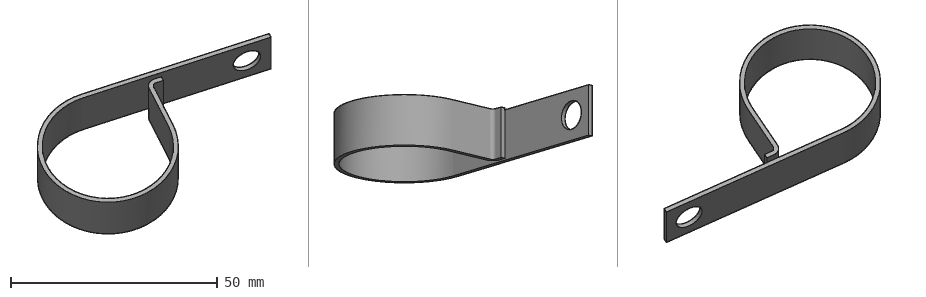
import cadquery as cq
import math

overall_length = 66.3
loop_diameter = 34.2
strip_width = 12.7
thickness = 1.2
lip_gap = 1.2
lip_top = 20.0
bend_inner_radius = 1.0
hole_diameter = 7.15
hole_end_distance = 6.3

outer_radius = loop_diameter / 2
inner_radius = outer_radius - thickness
leg_end = overall_length - outer_radius
bend_outer_radius = bend_inner_radius + thickness
lip_left = -inner_radius + lip_gap
lip_right = lip_left + thickness
bend_x = lip_left + bend_outer_radius
bend_y = inner_radius + bend_outer_radius
diagonal = math.sqrt(0.5)


def bent_strip():
    """Long leg, three-quarter loop, short return leg and upturned lip."""
    profile = (
        cq.Workplane("XY")
        .moveTo(-outer_radius, leg_end)
        .lineTo(-outer_radius, 0)
        .threePointArc((outer_radius * diagonal, -outer_radius * diagonal), (0, outer_radius))
        .lineTo(bend_x, outer_radius)
        .threePointArc(
            (bend_x - bend_inner_radius * diagonal, bend_y - bend_inner_radius * diagonal),
            (lip_right, bend_y),
        )
        .lineTo(lip_right, lip_top)
        .lineTo(lip_left, lip_top)
        .lineTo(lip_left, bend_y)
        .threePointArc(
            (bend_x - bend_outer_radius * diagonal, bend_y - bend_outer_radius * diagonal),
            (bend_x, inner_radius),
        )
        .lineTo(0, inner_radius)
        .threePointArc((inner_radius * diagonal, -inner_radius * diagonal), (-inner_radius, 0))
        .lineTo(-inner_radius, leg_end)
        .close()
    )
    return profile.extrude(strip_width / 2, both=True)


def mounting_hole():
    """Cutter for the round hole through the end of the long leg."""
    return (
        cq.Workplane("YZ", origin=(-outer_radius, 0, 0))
        .center(leg_end - hole_end_distance, 0)
        .circle(hole_diameter / 2)
        .extrude(thickness)
    )


result = bent_strip().cut(mounting_hole())